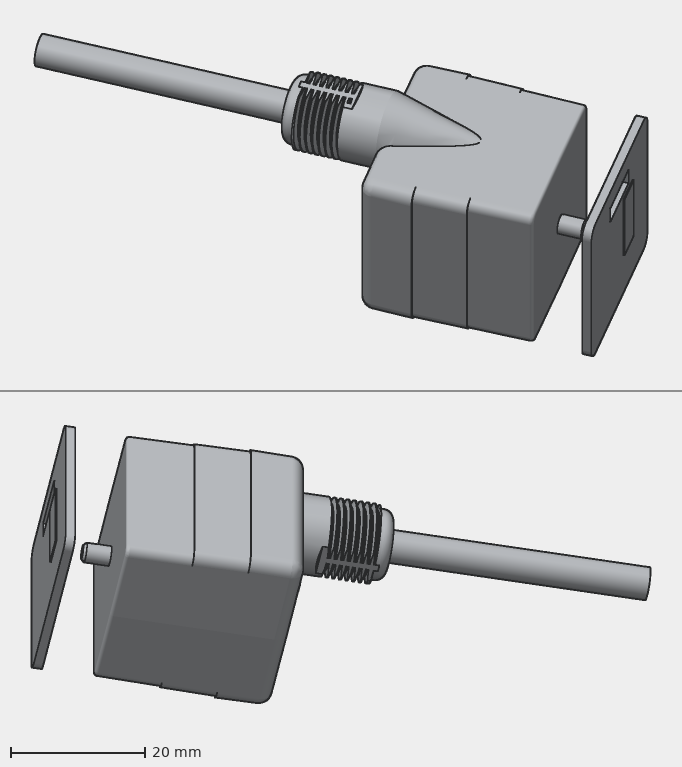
import cadquery as cq
import math


housing_height = 26.9
mold_draft = math.tan(math.radians(1))
step_1_x = 8.3
step_2_x = 16.8
housing_back_x = 27.0
step_1_half_width = 14.3
step_2_half_width = 13.85
step_3_half_width = 13.3
step_1_radius = 2.0
step_2_radius = 1.7
step_3_radius = 1.5
back_edge_radius = 0.55

cable_end_x = -54.7
cable_diameter = 5.0
gland_axis_z = 24.8
gland_diameter = 12.0
gland_radius = gland_diameter / 2
gland_end_x = -15.4
gland_nose_radius = 5.4
gland_nose_fillet = 1.55
gland_flat_offset = 5.4
gland_flat_end_x = -4.8
gland_flat_rim_x = -4.5
cone_slope = 0.27
cone_length = 15.5

thread_root_radius = 5.0
thread_pitch = 1.0
thread_start_x = -13.2
thread_length = 7.6
thread_start_angle = 180
groove_mouth = 0.8
groove_floor = 0.2
groove_overshoot = 0.2
rib_width = 1.2
rib_start_x = -13.85

screw_z = 13.4
head_radius = 2.9
head_rim_x = -1.0
head_top_x = -1.9
slot_width = 0.8
slot_length = 4.9
slot_floor_x = -1.2
stud_diameter = 3.0
stud_end_x = 31.2
stud_chamfer = 0.5

recess_left_y = 5.65
recess_right_y = -6.5
recess_bottom_z = 3.9
recess_top_z = 8.0
recess_depth = 1.0
pocket_left_y = -3.7
pocket_right_y = -6.0
pocket_floor_left_y = -4.0
pocket_floor_right_y = -5.65
pocket_depth = 1.6
notch_width = 6.0
notch_bottom_z = 3.4
notch_top_z = 8.3
notch_depth = 0.3

plate_x = 34.8
plate_thickness = 1.5
plate_width = 27.0
plate_corner_radius = 2.0
window_width = 8.7
window_bottom_z = 20.7
window_top_z = 23.5
pad_end_x = 36.4
pad_left_y = 6.3
pad_right_y = 1.9
pad_bottom_z = 7.9
pad_top_z = 19.6


def block(x0, x1, y0, y1, z0, z1):
    """Box between two opposite corners."""
    return cq.Workplane("XY").box(x1 - x0, y1 - y0, z1 - z0, centered=False).translate((x0, y0, z0))


def rod(x0, x1, radius, z):
    """Cylinder along X at height z in the middle plane."""
    return cq.Workplane("YZ", origin=(x0, 0, z)).circle(radius).extrude(x1 - x0)


def housing_step(x0, x1, front_half_width, back_half_width, radius):
    """One length of the housing: sloping sides, top and bottom peaked along the middle plane."""
    plan = (
        cq.Workplane("XY")
        .polyline([
            (x0, -front_half_width), (x1, -back_half_width),
            (x1, back_half_width), (x0, front_half_width),
        ])
        .close()
        .extrude(housing_height)
    )
    reach = step_1_half_width
    fall = reach * mold_draft
    crown = (
        cq.Workplane("YZ", origin=(x0, 0, 0))
        .polyline([
            (-reach, fall), (0, 0), (reach, fall),
            (reach, housing_height - fall), (0, housing_height), (-reach, housing_height - fall),
        ])
        .close()
        .extrude(x1 - x0)
    )
    corner_edges = plan.intersect(crown).faces("<Y or >Y").edges("<Z or >Z")
    return corner_edges.fillet(radius)


def make_housing_block():
    """Three steps, each narrower than the one before it."""
    step_1 = housing_step(
        0, step_1_x, step_1_half_width - step_1_x * mold_draft, step_1_half_width, step_1_radius
    ).faces("<X").edges().fillet(step_1_radius)
    step_2 = housing_step(
        step_1_x, step_2_x,
        step_2_half_width, step_2_half_width - (step_2_x - step_1_x) * mold_draft, step_2_radius
    )
    step_3 = housing_step(
        step_2_x, housing_back_x,
        step_3_half_width, step_3_half_width - (housing_back_x - step_2_x) * mold_draft, step_3_radius
    ).faces(">X").edges().fillet(back_edge_radius)
    return step_1.union(step_2).union(step_3)


def make_thread_groove():
    """Helical groove around the gland axis."""
    path = cq.Wire.makeHelix(
        thread_pitch, thread_length, thread_root_radius,
        center=cq.Vector(thread_start_x, 0, gland_axis_z), dir=cq.Vector(1, 0, 0),
    )
    start = path.startPoint()
    radial = cq.Vector(0, start.y, start.z - gland_axis_z).normalized()
    plane = cq.Plane(origin=start, xDir=radial, normal=cq.Vector(1, 0, 0).cross(radial))
    depth = gland_radius - thread_root_radius
    reach = depth + groove_overshoot
    mouth = groove_floor + (groove_mouth - groove_floor) * reach / depth
    groove = (
        cq.Workplane(plane)
        .polyline([
            (0, -groove_floor / 2), (reach, -mouth / 2),
            (reach, mouth / 2), (0, groove_floor / 2),
        ])
        .close()
        .sweep(cq.Workplane(path), isFrenet=True)
    )
    return groove.rotate((0, 0, gland_axis_z), (1, 0, gland_axis_z), thread_start_angle)


def make_gland():
    """Rounded nose, threaded collar with a flat above and below, and a cone fading into the housing."""
    nose = rod(gland_end_x, thread_start_x, gland_nose_radius, gland_axis_z)
    nose = nose.faces("<X").edges().fillet(gland_nose_fillet)
    collar = rod(thread_start_x, 0, gland_radius, gland_axis_z).cut(make_thread_groove())
    gland = nose.union(collar)
    for side in (-1, 1):
        flat_z = gland_axis_z + side * gland_flat_offset
        rim_z = gland_axis_z + side * gland_radius
        slab = (
            cq.Workplane("XZ")
            .polyline([
                (gland_end_x, flat_z), (gland_flat_end_x, flat_z),
                (gland_flat_rim_x, rim_z), (gland_end_x, rim_z),
            ])
            .close()
            .extrude(gland_radius, both=True)
        )
        gland = gland.cut(slab)
    rib = block(
        rib_start_x, gland_flat_end_x, -rib_width / 2, rib_width / 2,
        gland_axis_z - gland_flat_offset, gland_axis_z + gland_flat_offset,
    )
    cone = (
        cq.Workplane("XY")
        .polyline([
            (0, 0), (0, gland_radius),
            (cone_length, gland_radius - cone_length * cone_slope), (cone_length, 0),
        ])
        .close()
        .revolve(360, (0, 0, 0), (1, 0, 0))
        .translate((0, 0, gland_axis_z))
    )
    return gland.union(rib).union(cone)


def make_screw_head():
    """Domed head with a cross slot."""
    dome_height = head_rim_x - head_top_x
    dome_radius = (head_radius ** 2 + dome_height ** 2) / (2 * dome_height)
    mid_radius = head_radius / 2
    mid_x = head_top_x + dome_radius - math.sqrt(dome_radius ** 2 - mid_radius ** 2)
    head = (
        cq.Workplane("XY")
        .moveTo(0, 0)
        .lineTo(0, head_radius)
        .lineTo(head_rim_x, head_radius)
        .threePointArc((mid_x, mid_radius), (head_top_x, 0))
        .close()
        .revolve(360, (0, 0, 0), (1, 0, 0))
    )
    slot = (
        cq.Workplane("YZ", origin=(head_top_x, 0, 0))
        .rect(slot_length, slot_width)
        .extrude(slot_floor_x - head_top_x)
    )
    for angle in (0, 90):
        head = head.cut(slot.rotate((0, 0, 0), (1, 0, 0), angle))
    return head.translate((0, 0, screw_z))


def make_recess():
    """Recess with a deeper, slope-walled pocket at one end and a shallow notch across its middle."""
    recess = (
        cq.Workplane("XY", origin=(0, 0, recess_bottom_z))
        .polyline([
            (0, recess_left_y), (recess_depth, recess_left_y),
            (recess_depth, pocket_left_y), (pocket_depth, pocket_floor_left_y),
            (pocket_depth, pocket_floor_right_y), (recess_depth, pocket_right_y),
            (recess_depth, recess_right_y), (0, recess_right_y),
        ])
        .close()
        .extrude(recess_top_z - recess_bottom_z)
    )
    notch = block(0, notch_depth, -notch_width / 2, notch_width / 2, notch_bottom_z, notch_top_z)
    return recess.union(notch)


def make_connector():
    cable = rod(cable_end_x, 0, cable_diameter / 2, gland_axis_z)
    stud = rod(0, stud_end_x, stud_diameter / 2, screw_z).faces(">X").edges().chamfer(stud_chamfer)
    return (
        make_housing_block()
        .union(make_gland())
        .union(cable)
        .union(stud)
        .union(make_screw_head())
        .cut(make_recess())
    )


def make_gasket():
    """Flat plate with rounded corners, a window near the top and a raised pad on its back."""
    plate_back_x = plate_x + plate_thickness
    plate = block(plate_x, plate_back_x, -plate_width / 2, plate_width / 2, 0, plate_width)
    plate = plate.edges("|X").fillet(plate_corner_radius)
    window = block(
        plate_x, plate_back_x, -window_width / 2, window_width / 2, window_bottom_z, window_top_z
    )
    pad = block(plate_back_x, pad_end_x, pad_right_y, pad_left_y, pad_bottom_z, pad_top_z)
    return plate.cut(window).union(pad)


connector = make_connector()
gasket = make_gasket()
result = cq.Compound.makeCompound([connector.val(), gasket.val()])